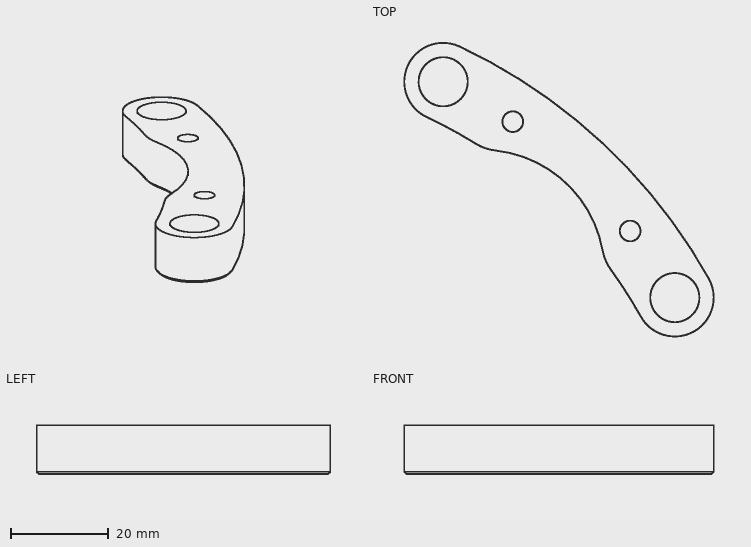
import cadquery as cq
import math

thickness = 10.0
end_radius = 8.0
pivot_diameter = 10.0
pivot_half_span_x = 23.75
pivot_half_span_y = 22.12
band_center_radius = 106.05
relief_radius = 25.0
relief_center_drop = 23.05
relief_blend_radius = 10.0
small_hole_diameter = 4.2
small_hole_half_spacing = 16.45
small_hole_offset = 3.75
bottom_chamfer = 0.5

pivot_half_spacing = math.hypot(pivot_half_span_x, pivot_half_span_y)
link_angle = -math.degrees(math.atan2(pivot_half_span_y, pivot_half_span_x))
band_center_drop = math.sqrt(band_center_radius**2 - pivot_half_spacing**2)
outer_radius = band_center_radius + end_radius
inner_radius = band_center_radius - end_radius


def band_end(radius, side):
    """Point of a band arc level with the pivot on the given side (-1 or 1)."""
    scale = radius / band_center_radius
    return (side * pivot_half_spacing * scale, band_center_drop * (scale - 1))


def end_tip(side):
    """Outermost point of the rounded end, along the band direction."""
    reach = end_radius / band_center_radius
    return (side * (pivot_half_spacing + band_center_drop * reach), -pivot_half_spacing * reach)


def curved_band():
    """Constant-width arched band with full-round ends."""
    return (
        cq.Workplane("XY")
        .moveTo(*band_end(outer_radius, -1))
        .threePointArc((0, outer_radius - band_center_drop), band_end(outer_radius, 1))
        .threePointArc(end_tip(1), band_end(inner_radius, 1))
        .threePointArc((0, inner_radius - band_center_drop), band_end(inner_radius, -1))
        .threePointArc(end_tip(-1), band_end(outer_radius, -1))
        .close()
        .extrude(thickness)
    )


def cut_relief(body):
    """Cut the round relief from the inner side and blend its two corners."""
    relief = cq.Workplane("XY").center(0, -relief_center_drop).circle(relief_radius).extrude(thickness)
    body = body.cut(relief)

    center_gap = band_center_drop - relief_center_drop
    height_above_relief = (inner_radius**2 - relief_radius**2 - center_gap**2) / (2 * center_gap)
    corner_x = math.sqrt(relief_radius**2 - height_above_relief**2)
    corner_y = height_above_relief - relief_center_drop
    for side in (-1, 1):
        corner = cq.selectors.NearestToPointSelector((side * corner_x, corner_y, thickness / 2))
        body = body.edges("|Z").edges(corner).fillet(relief_blend_radius)
    return body


def cut_holes(body):
    """Drill the end pivots and the two small holes through the link."""
    pivots = [(side * pivot_half_spacing, 0) for side in (-1, 1)]
    small_holes = [(side * small_hole_half_spacing, small_hole_offset) for side in (-1, 1)]
    for points, diameter in ((pivots, pivot_diameter), (small_holes, small_hole_diameter)):
        cutter = cq.Workplane("XY").pushPoints(points).circle(diameter / 2).extrude(thickness)
        body = body.cut(cutter)
    return body


link = cut_relief(curved_band())
link = link.faces("<Z").chamfer(bottom_chamfer)
link = cut_holes(link)

result = link.rotate((0, 0, 0), (0, 0, 1), link_angle)